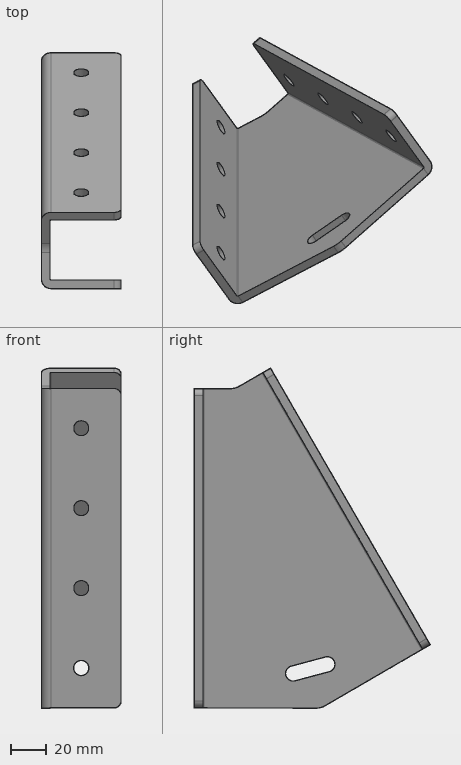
import cadquery as cq
import math

thickness = 5.0
bend_radius = 5.5
inner_radius = bend_radius - thickness
width = 45.0
flange_length = 179.8
corner_radius = 4.0

hole_diameter = 8.5
hole_count = 4
hole_pitch = 45.0
hole_x = width / 2
first_hole_z = hole_pitch / 2

apex_height = 265.8
half_angle = math.radians(15)
axis_y = math.sin(half_angle)
axis_z = -math.cos(half_angle)
apex = (0, 0, apex_height)
mirror_normal = (0, math.cos(half_angle), math.sin(half_angle))

bottom_corner_distance = 275.4
web_edge_radius = 10.0
slot_distance = 252.4
slot_length = 28.3
slot_width = 8.5


def on_axis(distance):
    """Y, Z point on the symmetry line at a distance below the apex."""
    return distance * axis_y, apex_height + distance * axis_z


def reflect(y, z):
    """Y, Z point reflected across the symmetry line."""
    along = y * axis_y + (z - apex_height) * axis_z
    foot_y, foot_z = on_axis(along)
    return 2 * foot_y - y, 2 * foot_z - z


def make_flange():
    """Upright flange at the front, with its bend, rounded corners and holes."""
    diagonal = math.sqrt(0.5)
    outer_mid = bend_radius * (1 - diagonal)
    inner_mid = bend_radius - inner_radius * diagonal
    flange = (
        cq.Workplane("XY")
        .moveTo(width, 0)
        .lineTo(bend_radius, 0)
        .threePointArc((outer_mid, outer_mid), (0, bend_radius))
        .lineTo(thickness, bend_radius)
        .threePointArc((inner_mid, inner_mid), (bend_radius, thickness))
        .lineTo(width, thickness)
        .close()
        .extrude(flange_length)
        .edges("|Y and >X")
        .fillet(corner_radius)
    )
    hole_points = [(hole_x, first_hole_z + i * hole_pitch) for i in range(hole_count)]
    holes = (
        cq.Workplane("XZ")
        .pushPoints(hole_points)
        .circle(hole_diameter / 2)
        .extrude(-thickness)
    )
    return flange.cut(holes)


def make_web():
    """Flat side plate between the two bends, with its slot."""
    front_bottom = (bend_radius, 0)
    front_top = (bend_radius, flange_length)
    top_corner = on_axis((apex_height - flange_length) / math.cos(half_angle))
    bottom_corner = on_axis(bottom_corner_distance)
    outline = [
        front_bottom,
        front_top,
        top_corner,
        reflect(*front_top),
        reflect(*front_bottom),
        bottom_corner,
    ]
    web = cq.Workplane("YZ").polyline(outline).close().extrude(thickness)
    for y, z in (top_corner, bottom_corner):
        corner = cq.selectors.NearestToPointSelector((thickness / 2, y, z))
        web = web.edges("|X").edges(corner).fillet(web_edge_radius)
    slot = (
        cq.Workplane("YZ")
        .center(*on_axis(slot_distance))
        .slot2D(slot_length, slot_width, math.degrees(half_angle))
        .extrude(thickness)
    )
    return web.cut(slot)


front_flange = make_flange()
rear_flange = front_flange.mirror(mirror_normal, apex)
result = make_web().union(front_flange).union(rear_flange)